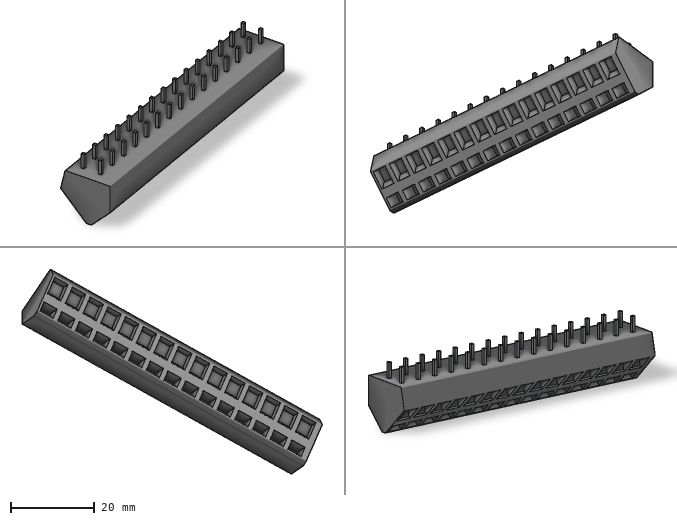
import cadquery as cq
import math


pole_count = 15
pitch = 5.0
end_wall = 1.0
first_pole_y = -pitch / 2
block_length = pole_count * pitch + end_wall

body_width = 14.27
body_height = 13.0
front_lean_angle = math.radians(13)
slope_angle = math.radians(45)
front_corner_z = 7.45
underside_back_x = -5.45
top_edge_radius = 0.35
nose_radius = 0.3
underside_radius = 0.4

nose_bisector_angle = (slope_angle - front_lean_angle) / 2
nose_half_turn = (slope_angle + front_lean_angle) / 2
nose_trim = nose_radius * (math.cos(nose_bisector_angle) / math.cos(nose_half_turn) - 1)

front_corner_x = -(body_width + nose_trim)
top_front_x = front_corner_x + (body_height - front_corner_z) * math.tan(front_lean_angle)
underside_front_x = front_corner_x + front_corner_z / math.tan(slope_angle)
back_corner_z = -underside_back_x * math.tan(slope_angle)

pin_size = 0.8
pin_length = 4.0
pin_row_xs = (-pitch, -2 * pitch)

opening_width = 3.7
wire_hole_start = 0.5
wire_hole_height = 2.6
wire_hole_depth = 5.0
button_start = 5.5
button_height = 4.65
button_depth = 2.8
button_step = 0.5
ramp_rise = 1.2


def make_body():
    section = [
        (underside_front_x, 0),
        (underside_back_x, 0),
        (0, back_corner_z),
        (0, body_height),
        (top_front_x, body_height),
        (front_corner_x, front_corner_z),
    ]
    body = cq.Workplane("XZ").polyline(section).close().extrude(block_length)
    body = body.edges("|Y and >Z").fillet(top_edge_radius)
    body = body.edges("|Y and <Z").fillet(underside_radius)
    return body.edges("|Y and <X").fillet(nose_radius)


def slope_cutter(profile, pole_y):
    """Cutter with a (distance up the slope, depth into the block) profile, centred on one pole."""
    slope_plane = cq.Plane(
        origin=(underside_front_x, pole_y, 0),
        xDir=(-math.cos(slope_angle), 0, math.sin(slope_angle)),
        normal=(0, 1, 0),
    )
    return cq.Workplane(slope_plane).polyline(profile).close().extrude(opening_width / 2, both=True)


def wire_hole(pole_y):
    top = wire_hole_start + wire_hole_height
    profile = [
        (wire_hole_start, 0),
        (wire_hole_start, wire_hole_depth),
        (top, wire_hole_depth),
        (top, 0),
    ]
    return slope_cutter(profile, pole_y)


def button_pocket(pole_y):
    """Pocket whose floor steps down, ramps inward and steps again to its full depth."""
    top = button_start + button_height
    ramp_end = button_start + ramp_rise
    profile = [
        (button_start, 0),
        (button_start, button_step),
        (ramp_end, button_depth - button_step),
        (ramp_end, button_depth),
        (top, button_depth),
        (top, 0),
    ]
    return slope_cutter(profile, pole_y)


def solder_pin(pin_x, pole_y):
    pin = cq.Workplane("XY").rect(pin_size, pin_size).extrude(pin_length)
    return pin.translate((pin_x, pole_y, body_height))


result = make_body()
for pole in range(pole_count):
    pole_y = first_pole_y - pole * pitch
    result = result.cut(wire_hole(pole_y)).cut(button_pocket(pole_y))
    for pin_x in pin_row_xs:
        result = result.union(solder_pin(pin_x, pole_y))